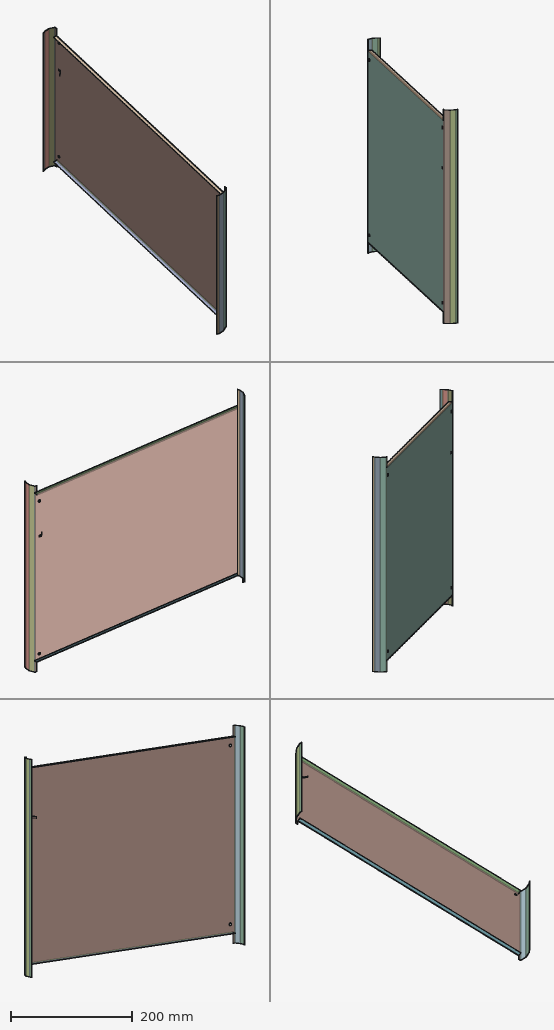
import cadquery as cq

import math

width = 449.0
height = 365.5
depth = 23.5

sheet = 0.7
inner_radius = 0.7
outer_radius = inner_radius + sheet
start_heading = 180.0

panel_width = 432.0
panel_height = 330.5
flange_depth = 6.7
flange_angle = 90.0

slope_angle = 65.0
side_angle = 90.0
tip_angle = 110.0
slope_length = 9.5
side_length = 9.0

hole_diameter = 4.5
hole_spacing_x = 420.5
hole_spacing_z = 300.0

tab_width = 3.0
tab_foot_length = 4.0
tab_blade_length = 7.5
tab_angle = 45.0
tab_start_x = -210.0
tab_z = 80.5


def bend_step(radius, from_angle, to_angle):
    """Displacement along an arc that turns left between two headings in degrees."""
    a = math.radians(from_angle)
    b = math.radians(to_angle)
    return radius * (math.sin(b) - math.sin(a)), radius * (math.cos(a) - math.cos(b))


def bent_strip(plane, start, moves, length):
    """Bent sheet-metal strip, extruded both ways from the plane, whose outer face starts at `start`.

    The strip heads along -x of the plane and bends to the left. Each move is a turn
    in degrees, measured from that first heading, and the straight length after it.
    """

    def trace(point, radius):
        """Straight ends of one face of the strip, with the middle of each bend between them."""
        x, y = point
        points = [(x, y)]
        previous = start_heading
        for turn, straight in moves:
            heading = start_heading + turn
            if heading != previous:
                dx, dy = bend_step(radius, previous, (previous + heading) / 2)
                points.append((x + dx, y + dy))
                dx, dy = bend_step(radius, previous, heading)
                x, y = x + dx, y + dy
                points.append((x, y))
            x += straight * math.cos(math.radians(heading))
            y += straight * math.sin(math.radians(heading))
            points.append((x, y))
            previous = heading
        return points

    def draw_face(sketch, points):
        """Continue the outline along one face: a first straight, then an arc and a straight per bend."""
        sketch = sketch.lineTo(*points[1])
        for middle, arc_end, straight_end in zip(points[2::3], points[3::3], points[4::3]):
            sketch = sketch.threePointArc(middle, arc_end).lineTo(*straight_end)
        return sketch

    outer = trace(start, outer_radius)
    inner = trace((start[0], start[1] - sheet), inner_radius)
    sketch = draw_face(cq.Workplane(plane).moveTo(*outer[0]), outer)
    sketch = draw_face(sketch.lineTo(*inner[-1]), inner[::-1])
    return sketch.close().extrude(length / 2, both=True)


def make_wing():
    """Left wing, whose flat strip starts at the side edge of the panel."""
    slope = math.radians(slope_angle)
    bend_reach, _ = bend_step(outer_radius, start_heading, start_heading + side_angle)
    _, bend_drop = bend_step(outer_radius, start_heading, start_heading + tip_angle)
    flat_length = width / 2 - panel_width / 2 + bend_reach - slope_length * math.cos(slope)
    tip_depth = depth + bend_drop - slope_length * math.sin(slope) - side_length
    tip_length = tip_depth / math.sin(math.radians(tip_angle))
    moves = [
        (0, flat_length),
        (slope_angle, slope_length),
        (side_angle, side_length),
        (tip_angle, tip_length),
    ]
    return bent_strip("XY", (-panel_width / 2, 0), moves, height)


def make_half_panel():
    """Lower half of the panel with its flange."""
    moves = [
        (0, panel_height / 2 - outer_radius),
        (flange_angle, flange_depth - outer_radius),
    ]
    return bent_strip("ZY", (0, 0), moves, panel_width)


def make_shelf():
    """Panel with its flanges, wings and mounting holes."""
    wing = make_wing()
    half_panel = make_half_panel()
    shelf = (
        half_panel.union(half_panel.mirror("XY"))
        .union(wing)
        .union(wing.mirror("YZ"))
        .clean()
    )
    holes = (
        cq.Workplane("XZ")
        .rect(hole_spacing_x, hole_spacing_z, forConstruction=True)
        .vertices()
        .circle(hole_diameter / 2)
        .extrude(sheet)
    )
    return shelf.cut(holes).solids()


def make_tab():
    """Tab whose foot lies on the panel front and whose blade rises forwards towards +x."""
    moves = [(0, tab_foot_length), (tab_angle, tab_blade_length)]
    tab = bent_strip("XY", (-tab_start_x, -sheet), moves, tab_width)
    return tab.mirror("YZ").translate((0, 0, tab_z)).solids()


shelf = make_shelf()
tab = make_tab()

result = cq.Compound.makeCompound([shelf.val(), tab.val()])